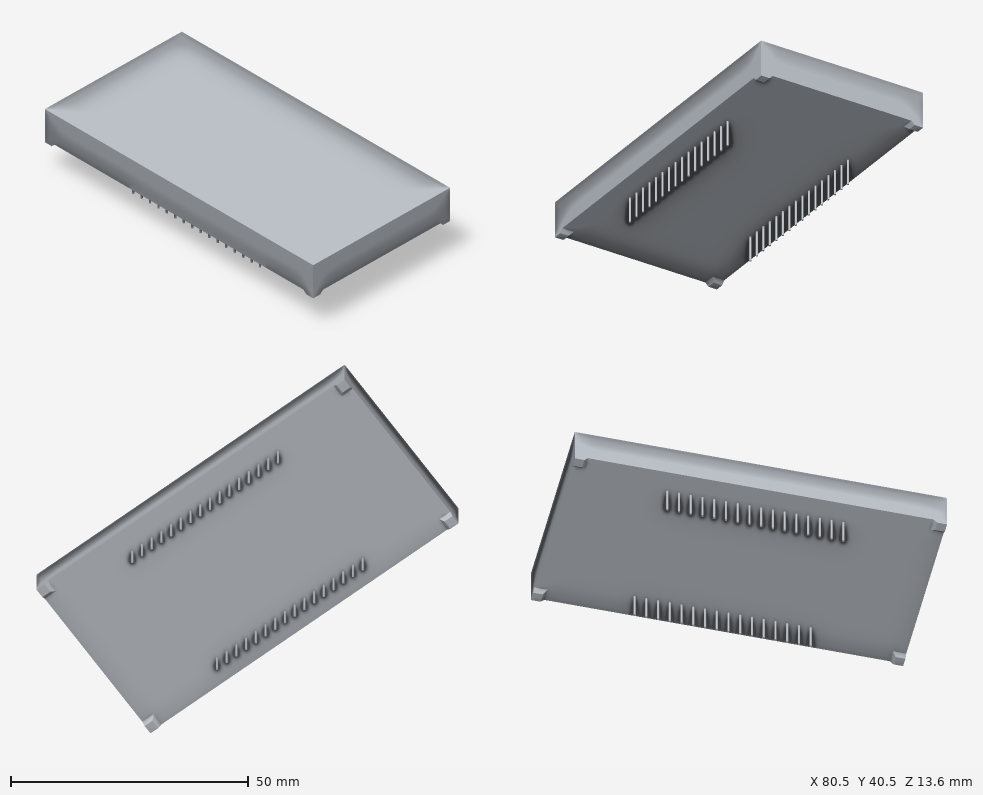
import cadquery as cq

length = 80.5
width = 40.5
total_height = 13.6

underside_depth = 7.7
foot_height = 0.8
foot_flat = 2.1
foot_slope_run = 0.8
body_height = underside_depth + foot_height

pin_diameter = 0.51
pins_per_row = 16
pin_row_span = 38.1
pin_row_spacing = 30.1
pin_pitch = pin_row_span / (pins_per_row - 1)

underside_z = total_height - underside_depth
foot_z = underside_z - foot_height


def underside_channel(plane, side_length, run_length):
    """Shallow channel with sloped flanks, cut right across the underside."""
    half_mouth = side_length / 2 - foot_flat
    half_floor = half_mouth - foot_slope_run
    return (
        cq.Workplane(plane)
        .polyline([
            (-half_mouth, foot_z),
            (half_mouth, foot_z),
            (half_floor, underside_z),
            (-half_floor, underside_z),
        ])
        .close()
        .extrude(run_length / 2, both=True)
    )


def make_housing():
    """Block whose two crossing channels leave a foot at each corner."""
    block = (
        cq.Workplane("XY")
        .workplane(offset=foot_z)
        .rect(length, width)
        .extrude(body_height)
    )
    along_y = underside_channel("XZ", length, width)
    along_x = underside_channel("YZ", width, length)
    return block.cut(along_y).cut(along_x)


def make_pins():
    """Both rows of pins, from their tips up to the underside."""
    return (
        cq.Workplane("XY")
        .rarray(pin_pitch, pin_row_spacing, pins_per_row, 2)
        .circle(pin_diameter / 2)
        .extrude(underside_z)
    )


result = make_housing().union(make_pins())